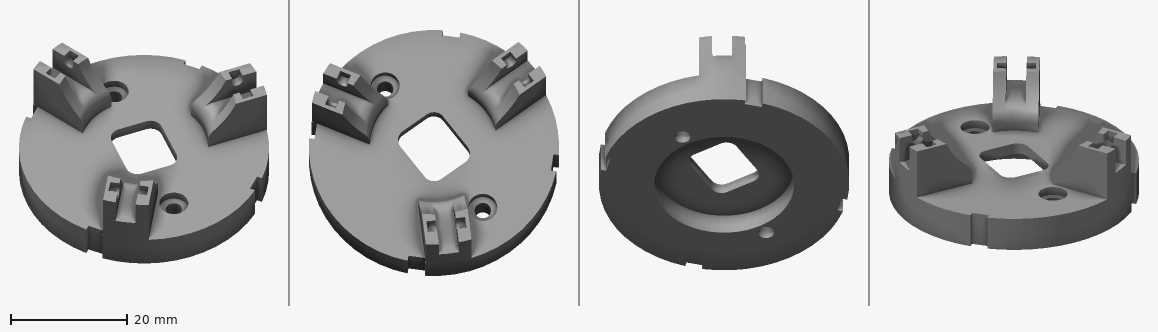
import cadquery as cq
import math

base_radius = 21.5
base_height = 6.0
total_height = 14.95

window_x = 11.0
window_y = 9.2
window_corner_radius = 2.0
window_plate_thickness = 2.0
recess_radius = 12.05

screw_spacing = 27.95
screw_diameter = 2.8
counterbore_diameter = 5.0
counterbore_depth = 1.5

notch_width = 3.0
notch_floor_radius = 20.5
notch_count = 4

bracket_count = 3
bracket_width = 7.9
bracket_inner_radius = 11.0
bracket_top_radius = 15.9
slot_width = 3.5
slot_floor_z = 10.27
slot_overrun = 0.45
blend_radius = 2.5
blend_slope = math.radians(39)

pin_radius = 1.05
pin_distance = 17.92
pin_z = 13.85
pin_entry_width = 1.98
pin_span = 6.7

blend_joint = (
    bracket_inner_radius + blend_radius * (1 - math.sin(blend_slope)),
    slot_floor_z - blend_radius * (1 - math.cos(blend_slope)),
)
inner_wall_top_z = blend_joint[1] - blend_radius * math.cos(blend_slope)
slot_floor_inner_radius = blend_joint[0] + blend_radius * math.sin(blend_slope)


def revolve_about_z(profile):
    """Close a (radius, z) profile on the XZ plane and turn it around the Z axis."""
    return profile.close().revolve(360, (0, 0, 0), (0, 1, 0))


def make_base():
    """Disc with an underside recess, window, counterbored holes and rim notches."""
    base = cq.Workplane("XY").circle(base_radius).extrude(base_height)
    recess_depth = base_height - window_plate_thickness
    base = base.cut(cq.Workplane("XY").circle(recess_radius).extrude(recess_depth))
    window = (
        cq.Workplane("XY")
        .rect(window_x, window_y)
        .extrude(base_height)
        .edges("|Z")
        .fillet(window_corner_radius)
    )
    base = base.cut(window)
    base = (
        base.faces(">Z")
        .workplane(origin=(0, 0, base_height))
        .pushPoints([(-screw_spacing / 2, 0), (screw_spacing / 2, 0)])
        .cboreHole(screw_diameter, counterbore_diameter, counterbore_depth)
    )
    notch_depth = base_radius - notch_floor_radius
    notch = (
        cq.Workplane("XY")
        .center(notch_floor_radius + notch_depth, 0)
        .rect(2 * notch_depth, notch_width)
        .extrude(base_height)
    )
    for index in range(notch_count):
        angle = (index + 0.5) * 360 / notch_count
        base = base.cut(notch.rotate((0, 0, 0), (0, 0, 1), angle))
    return base


def bracket_body():
    """Radial block along +X with a rounded and hollowed inner face."""
    profile = (
        cq.Workplane("XZ")
        .moveTo(base_radius, base_height)
        .lineTo(bracket_inner_radius, base_height)
        .lineTo(bracket_inner_radius, inner_wall_top_z)
        .tangentArcPoint(blend_joint, relative=False)
        .tangentArcPoint((bracket_top_radius, total_height), relative=False)
        .lineTo(base_radius, total_height)
    )
    block = cq.Workplane("XY").box(base_radius, bracket_width, total_height, centered=(False, True, False))
    return revolve_about_z(profile).intersect(block)


def bracket_slot():
    """Radial slot whose floor rounds down into the inner face."""
    slot_end_radius = base_radius + slot_overrun
    profile = (
        cq.Workplane("XZ")
        .moveTo(slot_end_radius, slot_floor_z)
        .lineTo(slot_floor_inner_radius, slot_floor_z)
        .tangentArcPoint(blend_joint, relative=False)
        .lineTo(blend_joint[0], total_height)
        .lineTo(slot_end_radius, total_height)
    )
    block = cq.Workplane("XY").box(slot_end_radius, slot_width, total_height, centered=(False, True, False))
    return revolve_about_z(profile).intersect(block)


def pin_seat():
    """Cross bore for the pivot pin, open to the top through a narrower entry."""
    bore = cq.Workplane("XZ").center(pin_distance, pin_z).circle(pin_radius).extrude(pin_span / 2, both=True)
    entry = cq.Workplane("XY").box(
        pin_entry_width, pin_span, total_height - pin_z, centered=(True, True, False)
    )
    return bore.union(entry.translate((pin_distance, 0, pin_z)))


bracket = bracket_body().cut(bracket_slot()).cut(pin_seat())
result = make_base()
for index in range(bracket_count):
    bracket_angle = 90 + index * 360 / bracket_count
    result = result.union(bracket.rotate((0, 0, 0), (0, 0, 1), bracket_angle))